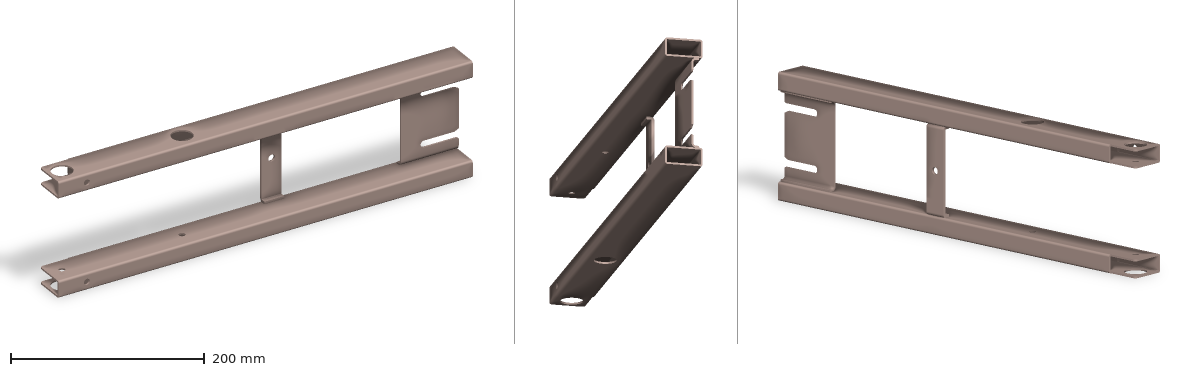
import cadquery as cq

rail_length = 500.0
rail_width = 40.0
rail_height = 20.0
frame_height = 137.0
wall = 2.0
rail_bend_radius = 2.5

half_gap = frame_height / 2 - rail_height
rail_center_z = half_gap + rail_height / 2

notch_length = 35.0
flange_corner_radius = 3.5

bolt_x = rail_width / 2
bolt_y_positions = [16.0, 161.0]
bolt_hole_diameter = 7.0
access_hole_diameter = 24.0
side_hole_y = 34.0
side_hole_diameter = 7.0

pad_size = 14.0
pad_y = 55.0
pad_thickness = 4.0
peg_y = 50.0
peg_diameter = 7.0

plate_length = 70.0
plate_x_min = 4.0
plate_x_max = 12.0
plate_bend_radius = 5.0
slot_width = 8.0
slot_length = 46.0
slot_spacing = 60.0
slot_lip_chamfer = 1.5
tongue_chamfer_y = 5.0
tongue_chamfer_z = 2.5

bracket_length = 24.0
bracket_center_y = 279.5
bracket_depth = 8.5
bracket_wall = 3.0
bracket_bend_radius = 3.5
bracket_hole_diameter = 8.0


def block(x_min, x_max, y_min, y_max, z_min, z_max):
    """Box given by its limits along the three axes."""
    box = cq.Workplane("XY").box(x_max - x_min, y_max - y_min, z_max - z_min, centered=False)
    return box.translate((x_min, y_min, z_min))


def cylinder_z(x, y, z_min, z_max, diameter):
    """Cylinder along Z, given by its axis and its ends."""
    return cq.Workplane("XY", origin=(x, y, z_min)).circle(diameter / 2).extrude(z_max - z_min)


def cylinder_x(y, z, x_min, x_max, diameter):
    """Cylinder along X, given by its axis and its ends."""
    return cq.Workplane("YZ", origin=(x_min, y, z)).circle(diameter / 2).extrude(x_max - x_min)


def make_upper_rail():
    """Rail with bolt holes in its lower wall, access holes in its upper wall and an open front."""
    z_min = half_gap
    z_max = half_gap + rail_height
    inner_x_max = rail_width - wall

    outside = block(0, rail_width, 0, rail_length, z_min, z_max)
    outside = outside.edges("|Y").fillet(rail_bend_radius)
    inside = block(wall, inner_x_max, 0, rail_length, z_min + wall, z_max - wall)
    inside = inside.edges("|Y").fillet(rail_bend_radius - wall)
    rail = outside.cut(inside)

    rail = rail.cut(block(0, rail_bend_radius, 0, notch_length, z_min, z_max))
    front_corners = cq.selectors.BoxSelector(
        (rail_bend_radius - wall / 2, -wall, z_min), (rail_bend_radius + wall / 2, wall, z_max)
    )
    rail = rail.edges("|Z").edges(front_corners).fillet(flange_corner_radius)

    pad_x = inner_x_max - pad_thickness
    pad_bottom = rail_center_z - pad_size / 2
    pad_top = rail_center_z + pad_size / 2
    pad = block(pad_x, inner_x_max, pad_y, pad_y + pad_size, pad_bottom, pad_top)
    peg = cylinder_x(peg_y, rail_center_z, pad_x, inner_x_max, peg_diameter)
    rail = rail.union(pad).union(peg)

    for y in bolt_y_positions:
        rail = rail.cut(cylinder_z(bolt_x, y, z_min, z_min + wall, bolt_hole_diameter))
        rail = rail.cut(cylinder_z(bolt_x, y, z_max - wall, z_max, access_hole_diameter))
    return rail.cut(
        cylinder_x(side_hole_y, rail_center_z, rail_width / 2, rail_width, side_hole_diameter)
    )


def make_channel(depth, y_min, length, thickness, bend_radius):
    """Bent strip filling the gap: web at X = 0, flanges along the rails toward +X."""
    y_max = y_min + length
    inner_z = half_gap - thickness
    outside = block(0, depth, y_min, y_max, -half_gap, half_gap)
    outside = outside.edges("|Y and <X").fillet(bend_radius)
    inside = block(thickness, depth, y_min, y_max, -inner_z, inner_z)
    inside = inside.edges("|Y and <X").fillet(bend_radius - thickness)
    return outside.cut(inside)


def make_bracket():
    """Channel opening toward +X, with one hole in the middle of its web."""
    y_min = bracket_center_y - bracket_length / 2
    bracket = make_channel(bracket_depth, y_min, bracket_length, bracket_wall, bracket_bend_radius)
    return bracket.cut(cylinder_x(bracket_center_y, 0, 0, bracket_wall, bracket_hole_diameter))


def make_upper_slot():
    """Cutter for the upper slot: open at the rear, with its two mouth corners bevelled."""
    slot_center_z = slot_spacing / 2
    slot_radius = slot_width / 2
    top = slot_center_z + slot_radius
    bottom = slot_center_z - slot_radius
    slot_end_y = rail_length - slot_length
    return (
        cq.Workplane("YZ")
        .moveTo(slot_end_y + slot_radius, bottom)
        .threePointArc((slot_end_y, slot_center_z), (slot_end_y + slot_radius, top))
        .lineTo(rail_length - slot_lip_chamfer, top)
        .lineTo(rail_length, top + slot_lip_chamfer)
        .lineTo(rail_length, bottom - tongue_chamfer_z)
        .lineTo(rail_length - tongue_chamfer_y, bottom)
        .close()
        .extrude(plate_x_max)
    )


def make_plate():
    """Channel opening toward -X, with two slots running in from the rear edge of its web."""
    depth = plate_x_max - plate_x_min
    y_min = rail_length - plate_length
    channel = make_channel(depth, y_min, plate_length, wall, plate_bend_radius)
    plate = channel.mirror("YZ").translate((plate_x_max, 0, 0))
    slot = make_upper_slot()
    return plate.cut(slot).cut(slot.mirror("XY"))


upper_rail = make_upper_rail()
lower_rail = upper_rail.mirror("XY")
bracket = make_bracket()
plate = make_plate()

result = cq.Compound.makeCompound(
    [upper_rail.val(), lower_rail.val(), bracket.val(), plate.val()]
)